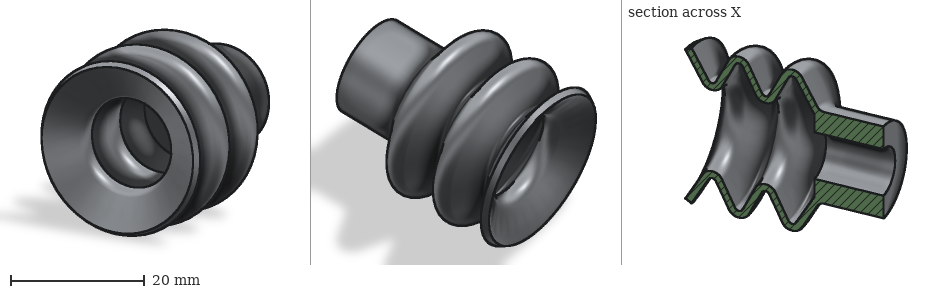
import cadquery as cq
import math


total_length = 33.0
wall = 1.25
fold_radius = 14.0
groove_radius = 8.25
fold_round = 1.9
groove_round = 0.63
first_groove_y = 4.5
fold_pitch = 8.88
fold_count = 2
end_slope = math.radians(30)
tube_radius = 8.0
bore_radius = 4.0
neck_fillet = 1.25

fold_centre = fold_radius - fold_round
groove_centre = groove_radius + groove_round
half_pitch = fold_pitch / 2
rounding_count = 2 * fold_count

centre_gap = fold_centre - groove_centre
centre_distance = math.hypot(centre_gap, half_pitch)
wall_slope = math.atan2(half_pitch, centre_gap) - math.asin((fold_round + groove_round) / centre_distance)


def rounding_arc(index, inset):
    """Start, middle and end (radius, y) of one rounding on the skin inset from the outside.

    Even indices are grooves and odd ones folds, counted from the mouth.
    """
    is_groove = index % 2 == 0
    side = -1 if is_groove else 1
    centre = groove_centre if is_groove else fold_centre
    radius = groove_round + inset if is_groove else fold_round - inset
    y = first_groove_y + index * half_pitch
    slope_before = end_slope if index == 0 else wall_slope
    slope_after = end_slope if index == rounding_count - 1 else wall_slope
    start = (centre + side * radius * math.sin(slope_before), y - radius * math.cos(slope_before))
    middle = (centre + side * radius, y)
    end = (centre + side * radius * math.sin(slope_after), y + radius * math.cos(slope_after))
    return start, middle, end


outer_arcs = [rounding_arc(index, 0) for index in range(rounding_count)]
inner_arcs = [rounding_arc(index, wall) for index in range(rounding_count)]

inner_lip_start = inner_arcs[0][0]
lip_tip = (inner_lip_start[0] + inner_lip_start[1] / math.tan(end_slope), 0)
lip_edge = (lip_tip[0] + wall * math.sin(end_slope), wall * math.cos(end_slope))

shoulder_radius, shoulder_y = outer_arcs[-1][2]
neck_centre = tube_radius + neck_fillet
neck_start_radius = neck_centre - neck_fillet * math.sin(end_slope)
neck_start_y = shoulder_y + (shoulder_radius - neck_start_radius) * math.tan(end_slope)
neck_end_y = neck_start_y + neck_fillet * math.cos(end_slope)
neck_mid_angle = (math.pi / 2 - end_slope) / 2
neck_middle = (
    neck_centre - neck_fillet * math.cos(neck_mid_angle),
    neck_end_y - neck_fillet * math.sin(neck_mid_angle),
)

throat_radius = groove_radius - wall
ceiling_radius, ceiling_y = inner_arcs[-1][2]
floor_y = ceiling_y + (ceiling_radius - throat_radius) * math.tan(end_slope)


def in_plane(point):
    """Turn (radius, y) into the local coordinates of the YZ sketch plane."""
    return point[1], point[0]


profile = cq.Workplane("YZ").moveTo(*in_plane(lip_edge))
for start, middle, end in outer_arcs:
    profile = profile.lineTo(*in_plane(start)).threePointArc(in_plane(middle), in_plane(end))
profile = (
    profile.lineTo(neck_start_y, neck_start_radius)
    .threePointArc(in_plane(neck_middle), (neck_end_y, tube_radius))
    .lineTo(total_length, tube_radius)
    .lineTo(total_length, bore_radius)
    .lineTo(floor_y, bore_radius)
    .lineTo(floor_y, throat_radius)
)
for start, middle, end in reversed(inner_arcs):
    profile = profile.lineTo(*in_plane(end)).threePointArc(in_plane(middle), in_plane(start))
profile = profile.lineTo(*in_plane(lip_tip)).close()

result = profile.revolve(360, (0, 0, 0), (1, 0, 0))